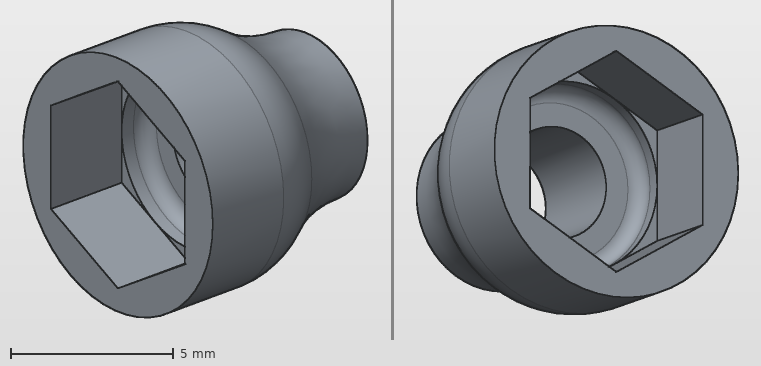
import cadquery as cq
import math

body_diameter = 8.5
neck_diameter = 5.5
total_length = 8.0
straight_length = 3.0
shoulder_end = 4.67
hex_across_flats = 6.0
hex_depth = 3.0
recess_depth = 3.995
recess_fillet = 0.5
bore_diameter = 3.5

body_radius = body_diameter / 2
neck_radius = neck_diameter / 2

taper_length = total_length - straight_length
turn_angle = 2 * math.atan((body_radius - neck_radius) / taper_length)
shoulder_arc_radius = (shoulder_end - straight_length) / math.sin(turn_angle)
neck_arc_radius = (total_length - shoulder_end) / math.sin(turn_angle)
half_turn = turn_angle / 2


def shoulder_point(angle):
    """Point on the convex arc after turning through the angle."""
    return (
        body_radius - shoulder_arc_radius * (1 - math.cos(angle)),
        straight_length + shoulder_arc_radius * math.sin(angle),
    )


def neck_point(angle):
    """Point on the concave arc, with the angle left to turn before the neck end."""
    return (
        neck_radius + neck_arc_radius * (1 - math.cos(angle)),
        total_length - neck_arc_radius * math.sin(angle),
    )


def make_body():
    """Solid outer shape revolved about the Y axis."""
    return (
        cq.Workplane("XY")
        .lineTo(body_radius, 0)
        .lineTo(body_radius, straight_length)
        .threePointArc(shoulder_point(half_turn), shoulder_point(turn_angle))
        .threePointArc(neck_point(half_turn), (neck_radius, total_length))
        .lineTo(0, total_length)
        .close()
        .revolve(360, (0, 0, 0), (0, 1, 0))
    )


def make_hex_socket():
    """Hexagonal pocket with corners pointing along +Z and -Z."""
    across_corners = hex_across_flats / math.cos(math.radians(30))
    return (
        cq.Workplane("XZ")
        .transformed(rotate=(0, 0, 90))
        .polygon(6, across_corners)
        .extrude(-hex_depth)
    )


def make_round_recess():
    """Round pocket touching the hexagon flats, with a filleted floor."""
    return (
        cq.Workplane("XZ")
        .circle(hex_across_flats / 2)
        .extrude(-recess_depth)
        .faces(">Y")
        .edges()
        .fillet(recess_fillet)
    )


def make_bore():
    """Through hole along the axis."""
    return cq.Workplane("XZ").circle(bore_diameter / 2).extrude(-total_length)


result = make_body().cut(make_hex_socket()).cut(make_round_recess()).cut(make_bore())